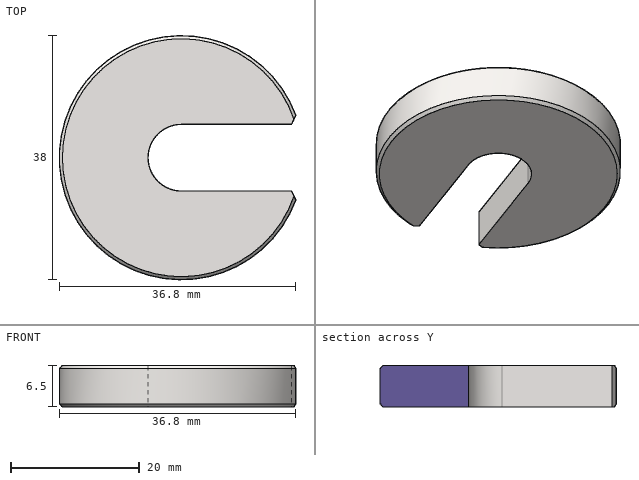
import cadquery as cq
import math

outer_radius = 19.0
thickness = 6.5
rim_chamfer = 0.5
slot_width = 10.35
slot_radius = slot_width / 2

tip_x = 17.82
mouth_x = 17.15
tip_y = math.sqrt(outer_radius**2 - tip_x**2)

disc = cq.Workplane("XY").circle(outer_radius).extrude(thickness)
disc = disc.faces("<Z or >Z").edges().chamfer(rim_chamfer)

flare_slope = (tip_y - slot_radius) / (tip_x - mouth_x)
cutter_x = outer_radius + rim_chamfer
cutter_y = slot_radius + flare_slope * (cutter_x - mouth_x)
slot = (
    cq.Workplane("XY")
    .moveTo(0, slot_radius)
    .threePointArc((-slot_radius, 0), (0, -slot_radius))
    .lineTo(mouth_x, -slot_radius)
    .lineTo(cutter_x, -cutter_y)
    .lineTo(cutter_x, cutter_y)
    .lineTo(mouth_x, slot_radius)
    .close()
    .extrude(thickness)
)

result = disc.cut(slot)